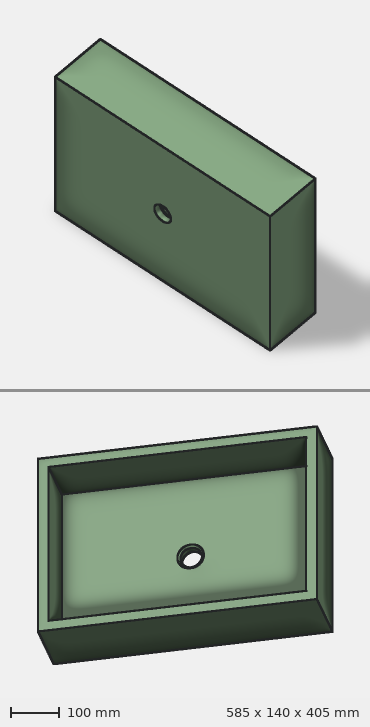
import cadquery as cq

width = 585.0
depth = 140.0
height = 405.0
wall = 22.0
hole_diameter = 45.0
hole_chamfer = 5.0

front_y = -depth / 2
floor_y = front_y + wall

basin = cq.Workplane("XY").box(width, depth, height).faces(">Y").shell(-wall)

hole = (
    cq.Workplane("XZ", origin=(0, front_y, 0))
    .circle(hole_diameter / 2)
    .extrude(-wall)
)

rim_cone = cq.Workplane("XY").add(
    cq.Solid.makeCone(
        hole_diameter / 2,
        hole_diameter / 2 + hole_chamfer,
        hole_chamfer,
        pnt=cq.Vector(0, floor_y - hole_chamfer, 0),
        dir=cq.Vector(0, 1, 0),
    )
)

result = basin.cut(hole).cut(rim_cone)